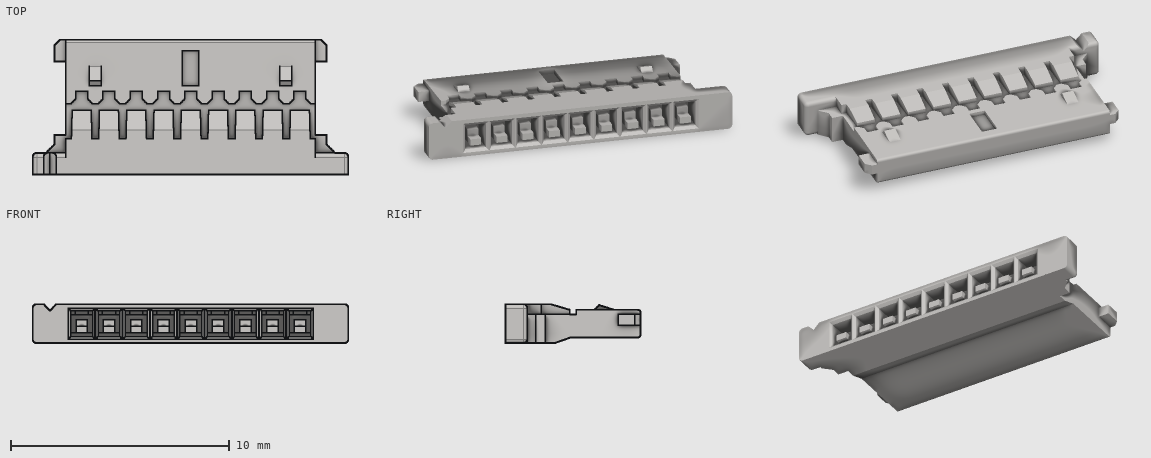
import cadquery as cq

flange_width = 14.47
flange_depth = 1.0
flange_round = 0.19
nose_height = 1.8
body_width = 11.43
body_length = 6.2
cut_extra = 0.15
joint_overlap = 0.15

tail_bottom = 0.26
tail_top = 1.53
tail_round = 0.13
deck_height = 1.32
bottom_slope_start = 2.26
bottom_slope_end = 3.0
top_slope_start = 2.07
block_rear = 2.95
tail_front = 3.24

contact_count = 9
contact_span = 10.0
row_center = 0.01
pitch = contact_span / (contact_count - 1)
contact_xs = [row_center - contact_span / 2 + i * pitch for i in range(contact_count)]

block_front = 1.65
block_front_width = 0.94
block_rear_width = 0.87

notch_width = 0.55
notch_rear = 3.82
tooth_bevel = 0.23

cavity_width = 1.0
cavity_bottom = 0.3
cavity_top = 1.48
cavity_depth = 1.45
mouth_width = 1.22
mouth_flare = 0.13
mouth_depth = 0.12
bar_bottom = 0.48
bar_top = 1.3
bar_thickness = 0.15
tongue_width = 0.52
lower_tongue_top = 0.78
upper_tongue_top = 1.09
lower_tongue_front = 0.06
upper_tongue_front = 0.52
relief_width = 0.61
relief_depth = 0.15

shoulder_reach = 0.52
shoulder_rear = 1.82
shoulder_bevel_start = 1.39

ear_reach = 0.52
ear_front = 5.18
ear_bottom = 0.82
ear_bevel = 0.26

vee_x = -6.44
vee_half_width = 0.29
vee_depth = 0.3

bump_x = 4.37
bump_width = 0.55
bump_front = 4.08
bump_ridge_y = 4.3
bump_rear = 4.98
bump_top = 1.75

pocket_width = 0.75
pocket_front = 4.08
pocket_rear = 5.69
pocket_depth = 0.22


def block(x_range, y_range, z_range):
    """Axis-aligned box between the given limits."""
    (x0, x1), (y0, y1), (z0, z1) = x_range, y_range, z_range
    return cq.Workplane("XY").box(x1 - x0, y1 - y0, z1 - z0, centered=False).translate((x0, y0, z0))


def centered_block(x, width, y_range, z_range):
    """Box of the given width centred on x."""
    return block((x - width / 2, x + width / 2), y_range, z_range)


def side_prism(points, x, width):
    """Prism with a (Y, Z) outline, centred on x."""
    return cq.Workplane("YZ").polyline(points).close().extrude(width / 2, both=True).translate((x, 0, 0))


def plan_prism(points, bottom, top):
    """Prism with an (X, Y) outline, between two heights."""
    return cq.Workplane("XY").workplane(offset=bottom).polyline(points).close().extrude(top - bottom)


def make_body():
    outline = [
        (0, 0),
        (bottom_slope_start, 0),
        (bottom_slope_end, tail_bottom),
        (body_length, tail_bottom),
        (body_length, tail_top),
        (tail_front, tail_top),
        (tail_front, deck_height),
        (block_rear, deck_height),
        (block_rear, tail_top),
        (top_slope_start, nose_height),
        (0, nose_height),
    ]
    return side_prism(outline, 0, body_width).edges("|X and >Y").fillet(tail_round)


def make_flange():
    flange = block((-flange_width / 2, flange_width / 2), (0, flange_depth), (0, nose_height))
    return flange.edges("|Y or >Y").fillet(flange_round)


def make_shoulders():
    narrow = body_width / 2 + shoulder_reach
    wide = narrow + shoulder_bevel_start - flange_depth
    outline = [
        (-wide, flange_depth),
        (-narrow, shoulder_bevel_start),
        (-narrow, shoulder_rear),
        (narrow, shoulder_rear),
        (narrow, shoulder_bevel_start),
        (wide, flange_depth),
    ]
    foot = block((-wide, wide), (flange_depth - flange_round, flange_depth), (0, deck_height))
    return plan_prism(outline, 0, deck_height).union(foot)


def make_ears():
    width = body_width + 2 * ear_reach
    tips = []
    for side in (-1, 1):
        inner = side * (body_width / 2 - joint_overlap)
        outer = side * width / 2
        outline = [
            (inner, ear_front),
            (outer, ear_front),
            (outer, body_length - ear_bevel),
            (outer - side * ear_bevel, body_length),
            (inner, body_length),
        ]
        tips.append(plan_prism(outline, ear_bottom, deck_height))
    return tips[0].union(tips[1])


def make_bump(x):
    outline = [
        (bump_front, tail_top - joint_overlap),
        (bump_front, tail_top),
        (bump_ridge_y, bump_top),
        (bump_rear, tail_top),
        (bump_rear, tail_top - joint_overlap),
    ]
    return side_prism(outline, x, bump_width)


def make_block_gaps():
    """Everything above the deck beside and between the raised blocks."""
    gap_top = nose_height + cut_extra
    gap_rear = block_rear + cut_extra
    gaps = centered_block(0, body_width + 2 * cut_extra, (block_front, gap_rear), (deck_height, gap_top))
    for x in contact_xs:
        outline = [
            (x - block_front_width / 2, block_front),
            (x + block_front_width / 2, block_front),
            (x + block_rear_width / 2, block_rear),
            (x - block_rear_width / 2, block_rear),
        ]
        gaps = gaps.cut(plan_prism(outline, deck_height, gap_top))
    return gaps


def make_wire_notch(x):
    """Notch in the tail edge that flares out towards the front."""
    narrow = notch_width / 2
    wide = narrow + tooth_bevel
    bevel_rear = tail_front + tooth_bevel
    outline = [
        (x - wide, tail_front),
        (x - narrow, bevel_rear),
        (x - narrow, notch_rear),
        (x + narrow, notch_rear),
        (x + narrow, bevel_rear),
        (x + wide, tail_front),
    ]
    return plan_prism(outline, deck_height, tail_top)


def make_cavity(x):
    """Contact cavity with a flared mouth, a rear bar and a stepped tongue."""
    bar_front = cavity_depth - bar_thickness
    cavity = centered_block(x, cavity_width, (0, cavity_depth), (cavity_bottom, cavity_top))
    mouth_height = cavity_top - cavity_bottom + 2 * mouth_flare
    mouth = (
        cq.Workplane("XZ", origin=(x, 0, (cavity_bottom + cavity_top) / 2))
        .rect(mouth_width, mouth_height)
        .workplane(offset=-mouth_depth)
        .rect(cavity_width, cavity_top - cavity_bottom)
        .loft(ruled=True)
    )
    relief_end = cavity_depth + relief_depth
    relief = centered_block(x, relief_width, (bar_front, relief_end), (bar_top, cavity_top))
    bar = centered_block(x, cavity_width, (bar_front, cavity_depth), (bar_bottom, bar_top))
    tongue_outline = [
        (lower_tongue_front, bar_bottom),
        (lower_tongue_front, lower_tongue_top),
        (upper_tongue_front, lower_tongue_top),
        (upper_tongue_front, upper_tongue_top),
        (cavity_depth, upper_tongue_top),
        (cavity_depth, bar_bottom),
    ]
    tongue = side_prism(tongue_outline, x, tongue_width)
    return cavity.union(mouth).union(relief).cut(bar).cut(tongue)


def make_vee():
    outline = [
        (vee_x - vee_half_width, nose_height),
        (vee_x, nose_height - vee_depth),
        (vee_x + vee_half_width, nose_height),
    ]
    return cq.Workplane("XZ").polyline(outline).close().extrude(-flange_depth)


housing = make_body().cut(make_block_gaps())
for feature in (make_flange(), make_shoulders(), make_ears(), make_bump(-bump_x), make_bump(bump_x)):
    housing = housing.union(feature)

for contact_x in contact_xs:
    housing = housing.cut(make_wire_notch(contact_x))
    housing = housing.cut(make_cavity(contact_x))

pocket = centered_block(0, pocket_width, (pocket_front, pocket_rear), (tail_top - pocket_depth, tail_top))
result = housing.cut(make_vee()).cut(pocket)